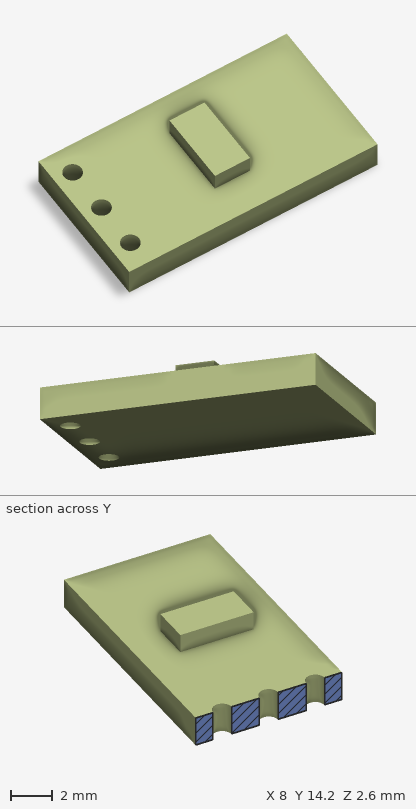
import cadquery as cq

board_width = 8.0
board_length = 14.2
board_thickness = 1.6

block_width = 4.0
block_length = 2.0
block_height = 1.0
block_offset_y = 0.1

hole_diameter = 1.0
hole_count = 3
hole_pitch = 2.54
hole_edge_distance = 1.01


def make_board():
    """Flat board centred in X and Y, with its underside at Z = 0."""
    board = cq.Workplane("XY").box(
        board_width, board_length, board_thickness, centered=(True, True, False)
    )
    hole_row_y = hole_edge_distance - board_length / 2
    holes = (
        cq.Workplane("XY")
        .center(0, hole_row_y)
        .rarray(hole_pitch, 0.14, hole_count, 1)
        .circle(hole_diameter / 2)
        .extrude(board_thickness)
    )
    return board.cut(holes)


def make_block():
    """Rectangular block standing on the board's top face."""
    return (
        cq.Workplane("XY", origin=(0, block_offset_y, board_thickness))
        .rect(block_width, block_length)
        .extrude(block_height)
    )


result = make_board().union(make_block())